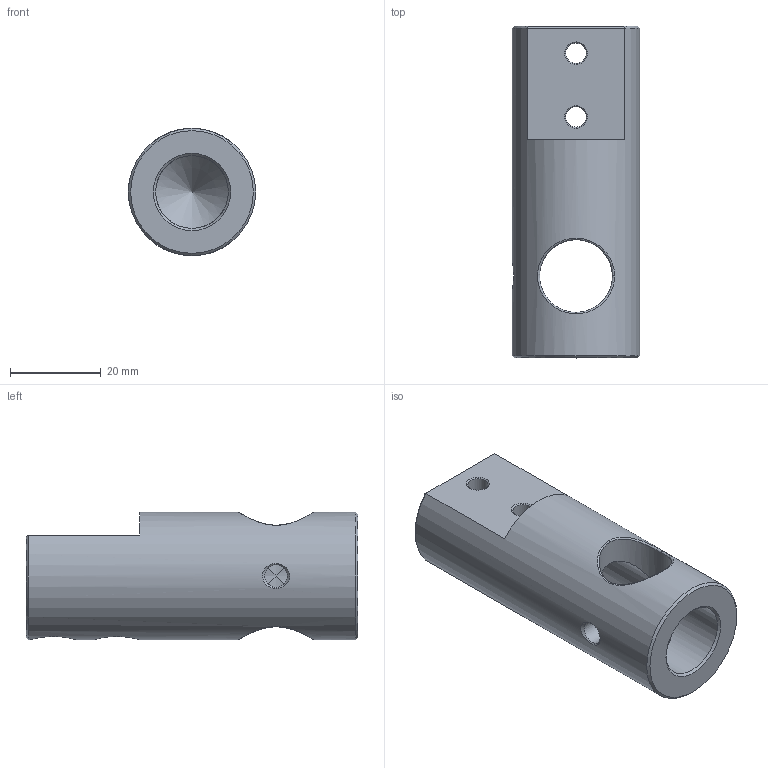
import cadquery as cq
import math

BODY_DIAMETER = 28.0
BODY_LENGTH = 73.0
EDGE_CHAMFER = 0.5

SEAT_LENGTH = 25.0
SEAT_HEIGHT = 9.0

BORE_DIAMETER = 16.0
BORE_DEPTH = 36.0
BORE_TIP_ANGLE = 90.0
CROSS_HOLE_Y = 18.0
CROSS_HOLE_FILLET = 0.3

SCREW_HOLE_DIAMETER = 5.0
SCREW_HOLE_CHAMFER = 0.5

MOUNT_HOLE_DIAMETER = 4.5
MOUNT_HOLE_CHAMFER = 0.25
MOUNT_SINK_DIAMETER = 10.0
MOUNT_HOLE_END_DISTANCES = (6.0, 20.0)

BODY_RADIUS = BODY_DIAMETER / 2
X_AXIS = cq.Vector(1, 0, 0)
Y_AXIS = cq.Vector(0, 1, 0)
Z_AXIS = cq.Vector(0, 0, 1)


def cylinder(diameter, length, start, direction):
    return cq.Solid.makeCylinder(diameter / 2, length, start, direction)


def countersink(diameter, chamfer, start, direction):
    """45 degree cone that breaks the mouth of a hole."""
    return cq.Solid.makeCone(diameter / 2 + chamfer, diameter / 2, chamfer, start, direction)


def make_body():
    bar = cq.Workplane(cylinder(BODY_DIAMETER, BODY_LENGTH, cq.Vector(0, 0, 0), Y_AXIS))
    seat_cut = cq.Workplane().box(
        BODY_DIAMETER, SEAT_LENGTH, BODY_RADIUS - SEAT_HEIGHT, centered=(True, False, False)
    )
    seat_cut = seat_cut.translate((0, BODY_LENGTH - SEAT_LENGTH, SEAT_HEIGHT))
    return bar.cut(seat_cut).faces("<Y or >Y").chamfer(EDGE_CHAMFER)


def cut_cross_hole(body):
    hole = cylinder(BORE_DIAMETER, BODY_DIAMETER, cq.Vector(0, CROSS_HOLE_Y, -BODY_RADIUS), Z_AXIS)
    drilled = body.cut(cq.Workplane(hole))
    reach = BORE_DIAMETER / 2 + CROSS_HOLE_FILLET
    mouths = cq.selectors.BoxSelector(
        (-reach, CROSS_HOLE_Y - reach, -BODY_RADIUS),
        (reach, CROSS_HOLE_Y + reach, BODY_RADIUS),
        boundingbox=False,
    )
    return drilled.edges(mouths).edges("not |Z").fillet(CROSS_HOLE_FILLET)


def cut_bore(body):
    start = cq.Vector(0, 0, 0)
    bore = cylinder(BORE_DIAMETER, BORE_DEPTH, start, Y_AXIS)
    tip_length = BORE_DIAMETER / 2 / math.tan(math.radians(BORE_TIP_ANGLE / 2))
    tip = cq.Solid.makeCone(BORE_DIAMETER / 2, 0, tip_length, Y_AXIS * BORE_DEPTH, Y_AXIS)
    mouth = countersink(BORE_DIAMETER, EDGE_CHAMFER, start, Y_AXIS)
    return body.cut(cq.Workplane(bore.fuse(tip))).cut(cq.Workplane(mouth))


def cut_screw_hole(body):
    start = cq.Vector(-BODY_RADIUS, CROSS_HOLE_Y, 0)
    hole = cylinder(SCREW_HOLE_DIAMETER, BODY_RADIUS, start, X_AXIS)
    mouth = countersink(SCREW_HOLE_DIAMETER, SCREW_HOLE_CHAMFER, start, X_AXIS)
    return body.cut(cq.Workplane(hole)).cut(cq.Workplane(mouth))


def cut_mount_hole(body, end_distance):
    y = BODY_LENGTH - end_distance
    top = cq.Vector(0, y, SEAT_HEIGHT)
    bottom = cq.Vector(0, y, -BODY_RADIUS)
    hole = cylinder(MOUNT_HOLE_DIAMETER, SEAT_HEIGHT + BODY_RADIUS, bottom, Z_AXIS)
    mouth = countersink(MOUNT_HOLE_DIAMETER, MOUNT_HOLE_CHAMFER, top, -Z_AXIS)
    sink_depth = (MOUNT_SINK_DIAMETER - MOUNT_HOLE_DIAMETER) / 2
    sink = countersink(MOUNT_HOLE_DIAMETER, sink_depth, bottom, Z_AXIS)
    for tool in (hole, mouth, sink):
        body = body.cut(cq.Workplane(tool))
    return body


result = make_body()
result = cut_cross_hole(result)
result = cut_bore(result)
result = cut_screw_hole(result)
for distance in MOUNT_HOLE_END_DISTANCES:
    result = cut_mount_hole(result, distance)